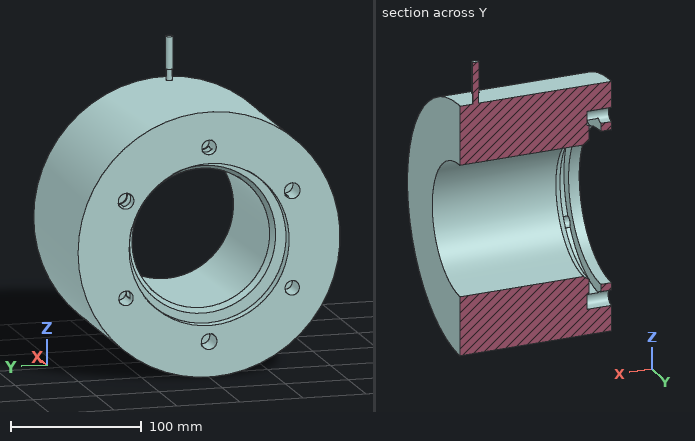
import cadquery as cq
import math

length = 125.5
outer_diameter = 208.0
bore_diameter = 109.0
lip_diameter = 127.0
lip_depth = 9.0
groove_diameter = 145.5
groove_width = 9.5
chamfer_length = 4.8
chamfer_height = 3.5

hole_circle_radius = 76.0
hole_count = 6
small_hole_diameter = 11.5
large_hole_diameter = 12.4
hole_depth = 20.0

total_height = 242.3
pin_from_end = 13.0
pin_diameter = 6.0
neck_diameter = 4.8
pin_length = 25.7

outer_radius = outer_diameter / 2
bore_radius = bore_diameter / 2
lip_radius = lip_diameter / 2
groove_radius = groove_diameter / 2
mouth_radius = bore_radius + chamfer_height
half_length = length / 2
lip_x = -half_length + lip_depth
shoulder_x = lip_x + groove_width
bore_start_x = shoulder_x + chamfer_length


def make_ring():
    """Revolve the section: -X lip, hidden groove, chamfered mouth and plain bore."""
    section = [
        (-half_length, outer_radius),
        (-half_length, lip_radius),
        (lip_x, lip_radius),
        (lip_x, groove_radius),
        (shoulder_x, groove_radius),
        (shoulder_x, mouth_radius),
        (bore_start_x, bore_radius),
        (half_length, bore_radius),
        (half_length, outer_radius),
    ]
    return cq.Workplane("XY").polyline(section).close().revolve(360, (0, 0, 0), (1, 0, 0))


def make_holes():
    """Make the cutters for the bolt circle, starting with a small hole at the top."""
    cutters = cq.Workplane("YZ", origin=(-half_length, 0, 0))
    holes = cq.Workplane("YZ")
    for index in range(hole_count):
        angle = 2 * math.pi * index / hole_count
        y = hole_circle_radius * math.sin(angle)
        z = hole_circle_radius * math.cos(angle)
        diameter = small_hole_diameter if index % 2 == 0 else large_hole_diameter
        holes = holes.add(cutters.center(y, z).circle(diameter / 2).extrude(hole_depth))
    return holes.combine()


def make_pin():
    """Make the pin on its thinner neck, which is sunk into the ring wall."""
    pin_x = half_length - pin_from_end
    pin_top = total_height - outer_radius
    pin_bottom = pin_top - pin_length
    neck_bottom = (outer_radius + bore_radius) / 2
    pin = cq.Workplane("XY", origin=(pin_x, 0, pin_bottom)).circle(pin_diameter / 2).extrude(pin_length)
    neck = (
        cq.Workplane("XY", origin=(pin_x, 0, neck_bottom))
        .circle(neck_diameter / 2)
        .extrude(pin_bottom - neck_bottom)
    )
    return pin.union(neck)


result = make_ring().cut(make_holes()).union(make_pin())